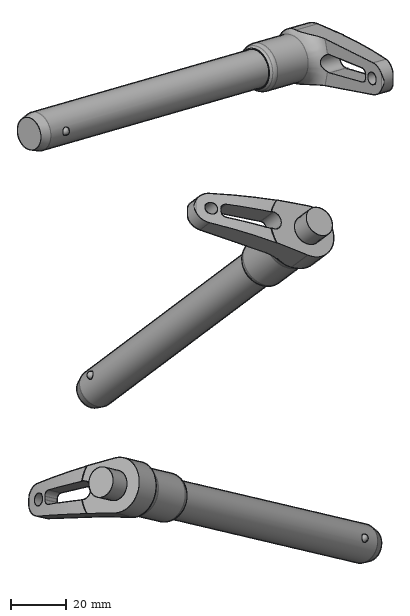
import cadquery as cq
import math

total_length = 155.2
button_radius = 5.6
button_height = 8.0
shaft_radius = 14.5 / 2
tip_y = button_height - total_length
tip_radius = 6.0
tip_taper_length = 3.9

collar_radius = 9.0
collar_start = 14.0
collar_round_start = 29.5
collar_round_end = 31.3
collar_round_radius = 8.4
collar_round_bulge = 0.25
collar_end_radius = 7.6
collar_end = 32.3
flare_depth = 5.5
flare_width = 6.7
flare_rim_radius = collar_radius + flare_width
flare_rim_y = flare_depth - collar_start

head_radius = 20.3 / 2
head_center_x = -1.1
end_radius = 6.0
handle_length = 55.7
handle_end_x = head_center_x - head_radius + handle_length
end_center_x = handle_end_x - end_radius

crown_start_x = 5.5
crown_radius = 135.0
underside_start_y = -7.5
underside_end_y = -11.3
end_edge_radius = 0.8

slot_start_x = 11.2
slot_end_x = 34.8
slot_start_half_width = 3.4
slot_end_half_width = 5.1 / 2
slot_corner_radius = 2.0
hole_radius = 2.3

ball_radius = 1.5
ball_center_radius = 7.0
ball_tip_distance = 11.5

handle_depth = 15.5
through_depth = 46.5


def handle_outline():
    slope = math.asin((head_radius - end_radius) / (end_center_x - head_center_x))
    sin_s, cos_s = math.sin(slope), math.cos(slope)
    head_x = head_center_x + head_radius * sin_s
    head_z = head_radius * cos_s
    end_x = end_center_x + end_radius * sin_s
    end_z = end_radius * cos_s
    return (
        cq.Workplane("XZ")
        .moveTo(head_x, head_z)
        .lineTo(end_x, end_z)
        .threePointArc((handle_end_x, 0), (end_x, -end_z))
        .lineTo(head_x, -head_z)
        .threePointArc((head_center_x - head_radius, 0), (head_x, head_z))
        .close()
    )


def flared_head():
    """Handle outline trimmed below by a concave flare around the pin axis."""
    flare_mid_x = flare_rim_radius - flare_width * math.cos(math.pi / 4)
    flare_mid_y = -collar_start + flare_depth * math.sin(math.pi / 4)
    flare = (
        cq.Workplane("XY")
        .lineTo(flare_rim_radius, 0)
        .lineTo(flare_rim_radius, flare_rim_y)
        .threePointArc((flare_mid_x, flare_mid_y), (collar_radius, -collar_start))
        .lineTo(0, -collar_start)
        .close()
        .revolve(360, (0, 0, 0), (0, 1, 0))
    )
    return handle_outline().extrude(handle_depth).intersect(flare)


def arm():
    """Handle outline trimmed to a crowned back and a sloping underside."""
    def crown_point(x):
        run = x - crown_start_x
        return x, math.sqrt(crown_radius**2 - run**2) - crown_radius

    profile = (
        cq.Workplane("XY")
        .lineTo(crown_start_x, 0)
        .threePointArc(
            crown_point((crown_start_x + handle_end_x) / 2), crown_point(handle_end_x)
        )
        .lineTo(handle_end_x, underside_end_y)
        .lineTo(0, underside_start_y)
        .close()
        .extrude(head_radius, both=True)
        .edges("|Z and >X")
        .fillet(end_edge_radius)
    )
    return handle_outline().extrude(handle_depth).intersect(profile)


def slot():
    """Tapered window with a full round at the head and rounded far corners."""
    round_center_x = slot_start_x + slot_start_half_width
    return (
        cq.Workplane("XZ")
        .moveTo(round_center_x, slot_start_half_width)
        .lineTo(slot_end_x, slot_end_half_width)
        .lineTo(slot_end_x, -slot_end_half_width)
        .lineTo(round_center_x, -slot_start_half_width)
        .threePointArc((slot_start_x, 0), (round_center_x, slot_start_half_width))
        .close()
        .extrude(through_depth / 2, both=True)
        .edges("|Y and >X")
        .fillet(slot_corner_radius)
    )


def end_hole():
    return (
        cq.Workplane("XZ")
        .center(end_center_x, 0)
        .circle(hole_radius)
        .extrude(through_depth / 2, both=True)
    )


def pin():
    """Button, collar, shaft and tapered tip turned about the pin axis."""
    round_mid = (
        collar_radius - collar_round_bulge * (collar_radius - collar_round_radius),
        -(collar_round_start + collar_round_end) / 2,
    )
    return (
        cq.Workplane("XY")
        .moveTo(0, button_height)
        .lineTo(button_radius, button_height)
        .lineTo(button_radius, underside_start_y)
        .lineTo(collar_radius, underside_start_y)
        .lineTo(collar_radius, -collar_round_start)
        .threePointArc(round_mid, (collar_round_radius, -collar_round_end))
        .lineTo(collar_end_radius, -collar_end)
        .lineTo(shaft_radius, -collar_end)
        .lineTo(shaft_radius, tip_y + tip_taper_length)
        .lineTo(tip_radius, tip_y)
        .lineTo(0, tip_y)
        .close()
        .revolve(360, (0, 0, 0), (0, 1, 0))
    )


handle = flared_head().union(arm()).cut(slot()).cut(end_hole())
result = handle.union(pin())

for side in (-1, 1):
    ball_center = (side * ball_center_radius, tip_y + ball_tip_distance, 0)
    ball = cq.Workplane("XY").sphere(ball_radius).translate(ball_center)
    result = result.union(ball)